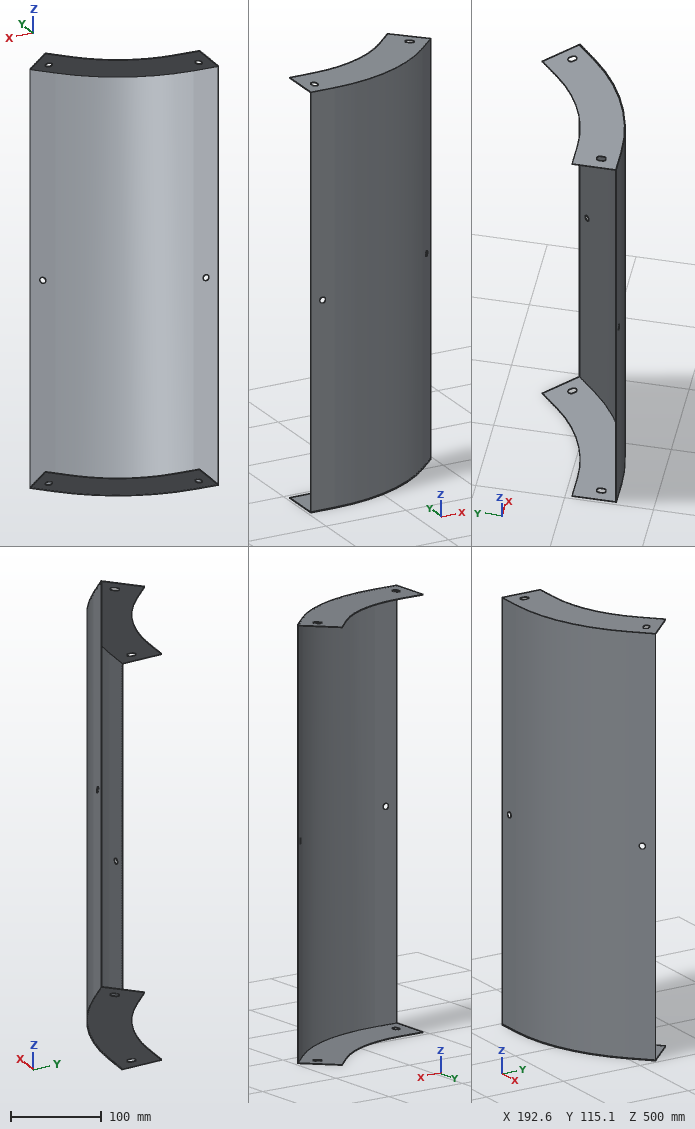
import cadquery as cq
import math

height = 500.0
flange_width = 50.0
thickness = 1.0
outer_radius = 200.0
straight_length = 30.0
bend_angle = 45.0
hole_diameter = 7.0
slot_length = 10.5
hole_end_distance = 15.0
slot_wall_distance = 20.0
cut_margin = 1.0

total_x = outer_radius * math.sin(math.radians(bend_angle)) + straight_length * (
    1 + math.cos(math.radians(bend_angle))
)
total_y = (
    outer_radius * (1 - math.cos(math.radians(bend_angle)))
    + straight_length * math.sin(math.radians(bend_angle))
    + flange_width * math.cos(math.radians(bend_angle))
)
start_x = straight_length - total_x / 2
outer_y = -total_y / 2
center_y = outer_y + outer_radius


def path_point(offset, angle, along=0.0):
    """Point inset from the outer face at a curve angle, moved along the tangent."""
    a = math.radians(angle)
    radius = outer_radius - offset
    return (
        start_x + radius * math.sin(a) + along * math.cos(a),
        center_y - radius * math.cos(a) + along * math.sin(a),
    )


def curved_strip(width, strip_height):
    """Solid following the outer face, with straight ends, inset by width."""
    return (
        cq.Workplane("XY")
        .moveTo(*path_point(0, 0, -straight_length))
        .lineTo(*path_point(0, 0))
        .threePointArc(path_point(0, bend_angle / 2), path_point(0, bend_angle))
        .lineTo(*path_point(0, bend_angle, straight_length))
        .lineTo(*path_point(width, bend_angle, straight_length))
        .lineTo(*path_point(width, bend_angle))
        .threePointArc(path_point(width, bend_angle / 2), path_point(width, 0))
        .lineTo(*path_point(width, 0, -straight_length))
        .close()
        .extrude(strip_height)
    )


def wall_hole(angle, along):
    """Cutter for a round hole square to the wall at mid height."""
    x, y = path_point(0, angle, along)
    a = math.radians(angle)
    inward = cq.Vector(-math.sin(a), math.cos(a), 0)
    start = cq.Vector(x, y, height / 2) - inward * cut_margin
    return cq.Solid.makeCylinder(hole_diameter / 2, 2 * cut_margin + thickness, start, inward)


def flange_slot(angle, along):
    """Cutter for a slot through both flanges, elongated away from the wall."""
    return (
        cq.Workplane("XY")
        .center(*path_point(slot_wall_distance, angle, along))
        .slot2D(slot_length, hole_diameter, angle + 90)
        .extrude(height)
    )


wall = curved_strip(thickness, height)
flange = curved_strip(flange_width, thickness)
result = wall.union(flange).union(flange.translate((0, 0, height - thickness)))

end_offset = straight_length - hole_end_distance
for angle, along in ((0, -end_offset), (bend_angle, end_offset)):
    result = result.cut(wall_hole(angle, along)).cut(flange_slot(angle, along))